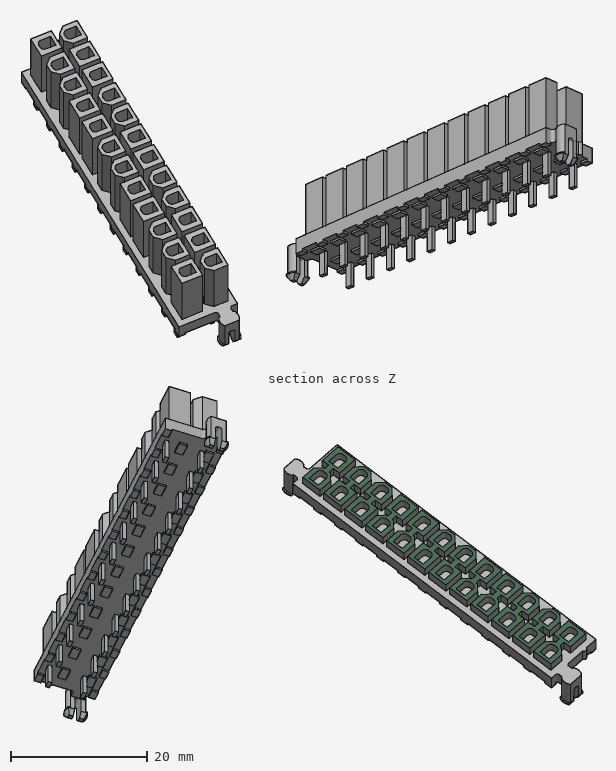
import cadquery as cq


columns = 12
pitch = 4.2
pin_row_spacing = 5.5
column_x = [(i - (columns - 1) / 2) * pitch for i in range(columns)]

plate_length = 51.8
plate_width = 9.6
plate_thickness = 2.1
foot_height = 0.35
foot_strip_width = 1.05
foot_gap = 2.8
pad_length = 1.86
pad_width = 1.3
pad_y = (-1.2, -1.2 + pitch)

overall_height = 14.83
tower_height = 8.9
tower_length = 3.5
tower_width = 3.4
tower_chamfer = 1.05
tower_y = pitch / 2
socket_length = 1.75
socket_width = 2.25
socket_corner_radius = 0.65
link_length = 1.0
link_height = 1.55

pin_length = 1.07
pin_width = 0.6
front_pin_y = -3.63
pin_tip_z = tower_height - overall_height

overall_length = 57.4
peg_thickness = 1.84
peg_radius = 1.5
peg_x = (overall_length - peg_thickness) / 2
peg_y = 2.5
barb_radius = 1.75
barb_top_z = -4.65
barb_edge_z = -4.85
peg_tip_z = -5.75
peg_tip_radius = 1.15
peg_tip_thickness = 0.6
slot_width = 1.0
slot_top_z = -1.9
neck_width = 2.1
neck_fillet = 0.4

key_radius = 0.43
key_protrusion = 0.3
key_y = -2.32


def block(length, width, z_bottom, z_top, x=0.0, y=0.0):
    """Box centred at (x, y) that spans the two given heights."""
    return (
        cq.Workplane("XY", origin=(x, y, z_bottom))
        .rect(length, width)
        .extrude(z_top - z_bottom)
    )


def tower_is_keyed(column, row):
    """Keyed towers run in pairs along each row, and the back row is the opposite of the front row."""
    front_keyed = column % 4 in (1, 2)
    return front_keyed if row == "front" else not front_keyed


def make_base():
    base = block(plate_length, plate_width, -plate_thickness, 0)
    key_x = key_radius - key_protrusion - plate_length / 2
    key = (
        cq.Workplane("XY", origin=(key_x, key_y, -plate_thickness))
        .circle(key_radius)
        .extrude(plate_thickness)
    )
    return base.union(key)


def make_feet():
    """Two edge strips interrupted beside every pin, plus a pad in line with every pin."""
    foot_bottom = -plate_thickness - foot_height
    strip_y = (plate_width - foot_strip_width) / 2
    feet = block(plate_length, foot_strip_width, foot_bottom, -plate_thickness, y=strip_y)
    feet = feet.union(block(plate_length, foot_strip_width, foot_bottom, -plate_thickness, y=-strip_y))
    for x in column_x:
        feet = feet.cut(block(foot_gap, plate_width, foot_bottom, -plate_thickness, x))
    for x in column_x:
        for y in pad_y:
            feet = feet.union(block(pad_length, pad_width, foot_bottom, -plate_thickness, x, y))
    return feet


def make_tower(x, y, keyed):
    tower = block(tower_length, tower_width, 0, tower_height, x, y)
    if keyed:
        tower = tower.faces("<Y").edges("|Z").chamfer(tower_chamfer)
    socket = block(socket_length, socket_width, 0, tower_height, x, y)
    socket = socket.faces("<Y").edges("|Z").fillet(socket_corner_radius)
    return tower.cut(socket)


def make_link(x):
    """Low web that joins the front and back towers of one column."""
    return block(link_length, 2 * tower_y - tower_width, 0, link_height, x)


def make_pins(x):
    front = block(pin_length, pin_width, pin_tip_z, -plate_thickness, x, front_pin_y)
    back = block(pin_length, pin_width, pin_tip_z, -plate_thickness, x, front_pin_y + pin_row_spacing)
    return front.union(back)


def make_neck(side):
    """Bridge between plate end and peg, flaring into the plate with round corners."""
    plate_end = plate_length / 2
    peg_face = peg_x - peg_thickness / 2
    half = neck_width / 2
    flare = half + neck_fillet
    neck = (
        cq.Workplane("XY", origin=(0, peg_y, -plate_thickness))
        .moveTo(plate_end, -flare)
        .radiusArc((plate_end + neck_fillet, -half), neck_fillet)
        .lineTo(peg_face, -half)
        .lineTo(peg_face, half)
        .lineTo(plate_end + neck_fillet, half)
        .radiusArc((plate_end, flare), neck_fillet)
        .close()
        .extrude(plate_thickness)
    )
    return neck if side > 0 else neck.mirror("YZ")


def make_peg(side):
    """Flat-sided round post with a barbed, tapered tip, split by a round-topped slot."""
    x = side * peg_x
    post = (
        cq.Workplane("XZ")
        .moveTo(0, 0)
        .lineTo(peg_radius, 0)
        .lineTo(peg_radius, barb_top_z)
        .lineTo(barb_radius, barb_top_z)
        .lineTo(barb_radius, barb_edge_z)
        .lineTo(peg_tip_radius, peg_tip_z)
        .lineTo(0, peg_tip_z)
        .close()
        .revolve(360, (0, 0, 0), (0, 1, 0))
    )
    half = peg_thickness / 2
    tip_half = peg_tip_thickness / 2
    blade = (
        cq.Workplane("XZ")
        .polyline([
            (-half, 0),
            (half, 0),
            (half, barb_edge_z),
            (tip_half, peg_tip_z),
            (-tip_half, peg_tip_z),
            (-half, barb_edge_z),
        ])
        .close()
        .extrude(barb_radius, both=True)
    )
    arch_z = slot_top_z - slot_width / 2
    slot = (
        cq.Workplane("YZ")
        .moveTo(-slot_width / 2, peg_tip_z)
        .lineTo(-slot_width / 2, arch_z)
        .threePointArc((0, slot_top_z), (slot_width / 2, arch_z))
        .lineTo(slot_width / 2, peg_tip_z)
        .close()
        .extrude(half, both=True)
    )
    return post.intersect(blade).cut(slot).translate((x, peg_y, 0))


result = make_base().union(make_feet())
for column, x in enumerate(column_x):
    result = result.union(make_tower(x, -tower_y, tower_is_keyed(column, "front")))
    result = result.union(make_tower(x, tower_y, tower_is_keyed(column, "back")))
    result = result.union(make_link(x))
    result = result.union(make_pins(x))
for side in (-1, 1):
    result = result.union(make_neck(side))
    result = result.union(make_peg(side))